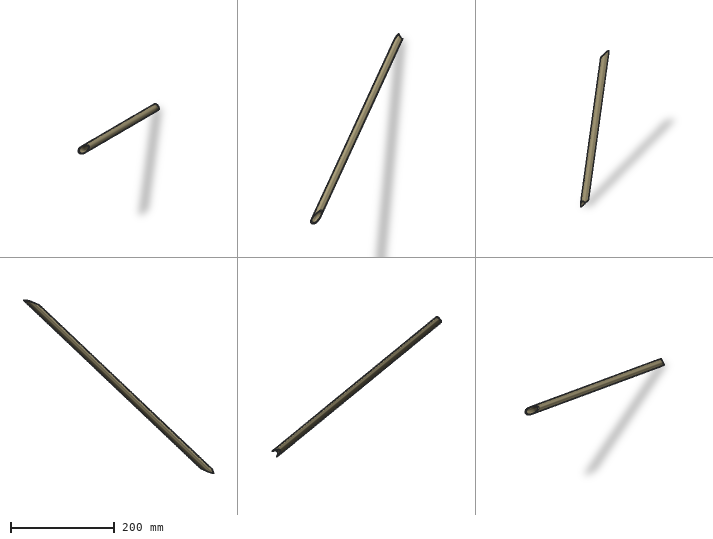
import cadquery as cq

tube_radius = 7.5
wall = 1.5
bore_radius = tube_radius - wall

run_x = 176.17
run_y = 504.35
run_z = 172.36

rail_radius = 14.0

crossing_radius = tube_radius
crossing_y = 236.54

overrun = 60.0

brace_run = cq.Vector(run_x, -run_y, run_z)


def straight_tube():
    """Square-ended tube along the brace axis, centred on the origin."""
    axis = brace_run.normalized()
    length = brace_run.Length + 2 * overrun
    start = axis * (-length / 2)
    section = cq.Plane(origin=start.toTuple(), normal=axis.toTuple(), xDir=(0, 0, 1))
    return cq.Workplane(section).circle(tube_radius).circle(bore_radius).extrude(length)


def rail(end):
    """Solid rail parallel to Y; end is -1 for the +Y node and +1 for the -Y node."""
    center = (end * run_x / 2, 0, end * run_z / 2)
    half_length = run_y / 2 + 2 * overrun
    return cq.Workplane("XZ", origin=center).circle(rail_radius).extrude(half_length, both=True)


def coped_tube():
    """Tube cut by both rails, keeping only the piece between them."""
    pieces = straight_tube()
    for end in (-1, 1):
        pieces = pieces.cut(rail(end))
    between_rails = min(pieces.solids().vals(), key=lambda piece: piece.Center().Length)
    return cq.Workplane(between_rails)


def crossing_tube():
    """Solid tube through the rail axis at the +Y end, in the plane of both rails."""
    section = cq.Plane(
        origin=(-run_x / 2, crossing_y, -run_z / 2),
        normal=(run_x, 0, run_z),
        xDir=(0, 1, 0),
    )
    return cq.Workplane(section).circle(crossing_radius).extrude(overrun, both=True)


result = coped_tube().cut(crossing_tube())